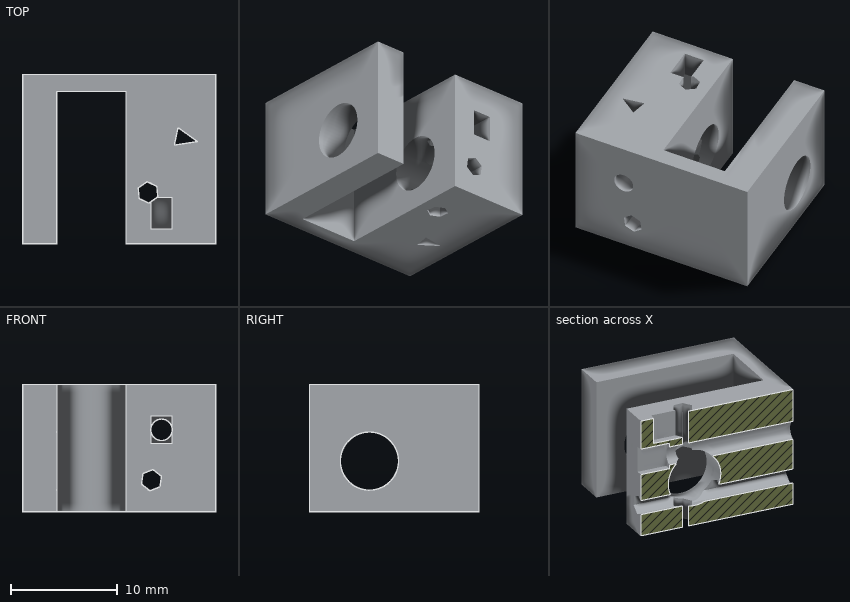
import cadquery as cq

LENGTH = 18.11
DEPTH = 15.92
HEIGHT = 11.95
THIN_ARM = 3.2
SLOT_WIDTH = 6.47
BACK_WALL = 1.63

BORE_DIAMETER = 5.43
BORE_Y = 5.63
BORE_Z = 4.76

POCKET_X = 13.02
POCKET_WIDTH = 2.0
FRONT_POCKET_Z = 7.7
FRONT_POCKET_HEIGHT = 2.59
FRONT_POCKET_DEPTH = 2.99
TOP_POCKET_Y = 2.88
TOP_POCKET_LENGTH = 2.97
TOP_POCKET_DEPTH = 2.59

ROUND_HOLE_DIAMETER = 2.0

HEX_DIAMETER = 2.0
FRONT_HEX_CENTER = (12.08, 2.97)
FRONT_HEX_ANGLE = 22.0
TOP_HEX_CENTER = (11.75, 4.84)
TOP_HEX_ANGLE = 35.0

TRIANGLE_CORNERS = [(14.58, 10.9), (16.37, 9.62), (14.23, 9.29)]


def block(x, y, z, corner):
    return cq.Workplane("XY").box(x, y, z, centered=False).translate(corner)


def hexagon(plane, center, angle):
    """Draw a hexagon with one corner at the given angle from the X axis."""
    return plane.center(*center).transformed(rotate=(0, 0, angle)).polygon(6, HEX_DIAMETER)


def along_y(depth, profile):
    """Extrude a profile drawn in X and Z from the front face toward +Y."""
    return profile.extrude(-depth)


body = block(LENGTH, DEPTH, HEIGHT, (0, 0, 0))
slot = block(SLOT_WIDTH, DEPTH - BACK_WALL, HEIGHT, (THIN_ARM, 0, 0))
bore = cq.Workplane("YZ").center(BORE_Y, BORE_Z).circle(BORE_DIAMETER / 2).extrude(LENGTH)

front = cq.Workplane("XZ")
front_pocket = along_y(
    FRONT_POCKET_DEPTH,
    front.center(POCKET_X, FRONT_POCKET_Z).rect(POCKET_WIDTH, FRONT_POCKET_HEIGHT),
)
round_hole = along_y(DEPTH, front.center(POCKET_X, FRONT_POCKET_Z).circle(ROUND_HOLE_DIAMETER / 2))
front_hex = along_y(DEPTH, hexagon(front, FRONT_HEX_CENTER, FRONT_HEX_ANGLE))

bottom = cq.Workplane("XY")
top_pocket = block(
    POCKET_WIDTH,
    TOP_POCKET_LENGTH,
    TOP_POCKET_DEPTH,
    (POCKET_X - POCKET_WIDTH / 2, TOP_POCKET_Y - TOP_POCKET_LENGTH / 2, HEIGHT - TOP_POCKET_DEPTH),
)
top_hex = hexagon(bottom, TOP_HEX_CENTER, TOP_HEX_ANGLE).extrude(HEIGHT)
triangle = bottom.polyline(TRIANGLE_CORNERS).close().extrude(HEIGHT)

result = body
for cutter in (slot, bore, front_pocket, round_hole, front_hex, top_pocket, top_hex, triangle):
    result = result.cut(cutter)